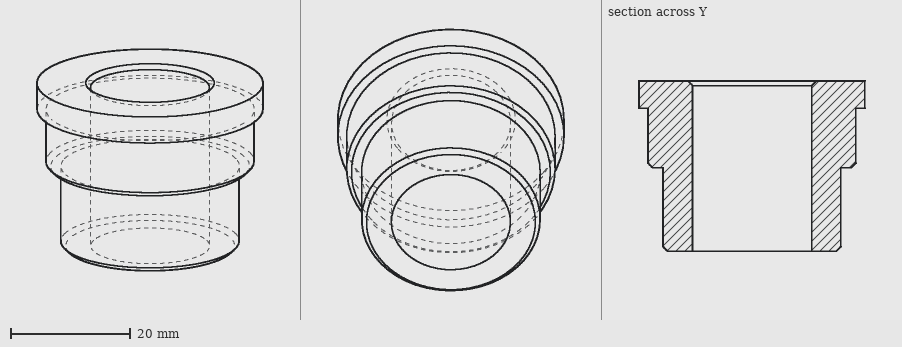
import cadquery as cq

total_height = 28.6
flange_diameter = 38.0
collar_diameter = 35.0
spigot_diameter = 30.0
bore_diameter = 20.0

flange_height = 4.6
collar_height = 10.0
spigot_height = total_height - flange_height - collar_height

chamfer = 0.8


def chamfered_step(diameter, height):
    """Cylinder standing on the XY plane with its lower rim chamfered."""
    return cq.Workplane("XY").circle(diameter / 2).extrude(height).faces("<Z").chamfer(chamfer)


spigot = chamfered_step(spigot_diameter, spigot_height)
collar = chamfered_step(collar_diameter, collar_height).translate((0, 0, spigot_height))
flange = (
    cq.Workplane("XY")
    .workplane(offset=spigot_height + collar_height)
    .circle(flange_diameter / 2)
    .extrude(flange_height)
)
body = spigot.union(collar).union(flange)

bored = body.faces(">Z").workplane().hole(bore_diameter)
result = bored.faces(">Z").edges(cq.selectors.RadiusNthSelector(0)).chamfer(chamfer)